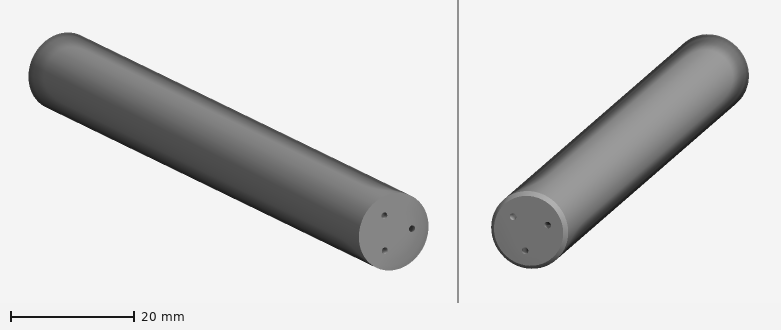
import cadquery as cq
import math

rod_length = 110.0
rod_diameter = 13.0
chamfer = 0.7

channel_count = 3
channel_diameter = 1.1
channel_circle_radius = 3.4
first_channel_angle = 40.0
helix_angle = 30.0

helix_pitch = math.pi * rod_diameter / math.tan(math.radians(helix_angle))
total_twist = 360.0 * rod_length / helix_pitch


def make_rod():
    """Solid rod, chamfered on its -X end only."""
    rod = cq.Workplane("YZ").circle(rod_diameter / 2).extrude(rod_length)
    return rod.faces("<X").chamfer(chamfer)


def make_channel(angle):
    """Helical channel running the full length, starting at the given angle."""
    y = channel_circle_radius * math.cos(math.radians(angle))
    z = channel_circle_radius * math.sin(math.radians(angle))
    section = cq.Workplane("YZ").pushPoints([(y, z)]).circle(channel_diameter / 2)
    return section.twistExtrude(rod_length, total_twist)


result = make_rod()
for index in range(channel_count):
    channel_angle = first_channel_angle + index * 360.0 / channel_count
    result = result.cut(make_channel(channel_angle))